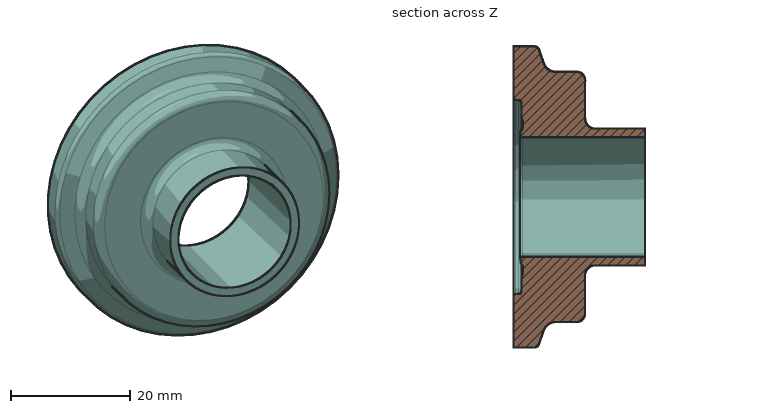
import cadquery as cq
import math

length = 22.0
bore_radius = 20.0 / 2

flange_radius = 50.5 / 2
flange_rim_width = 3.5
flange_edge_fillet = 0.85
flange_slope = math.radians(20)
flange_root_x = 6.95
flange_root_fillet = 1.95

shoulder_radius = 42.0 / 2
shoulder_end = 12.0
shoulder_fillet = 1.5
tube_radius = 23.0 / 2
tube_root_fillet = 1.6

recess_radius = 32.4 / 2
recess_depth = 1.3
recess_edge_fillet = 0.3
recess_floor_fillet = 0.45

groove_start_radius = 13.5
groove_slope_start_radius = 13.05
groove_inner_radius = 11.15
groove_slope = math.radians(25)
lip_slope = math.radians(35)
lip_top_radius = 10.75
lip_bore_fillet = 0.35

coincident = 5.05e-07


def arc(sketch, center, radius, start_degrees, end_degrees):
    """Continue the (x, radial) outline along an arc, from its start point."""
    def point(degrees):
        angle = math.radians(degrees)
        return center[0] + radius * math.cos(angle), center[1] + radius * math.sin(angle)

    end = sketch.val().endPoint() if isinstance(sketch.val(), cq.Edge) else sketch.val()
    if (end - cq.Vector(*point(start_degrees), 0)).Length > coincident:
        sketch = sketch.lineTo(*point(start_degrees))
    return sketch.threePointArc(point((start_degrees + end_degrees) / 2), point(end_degrees))


slope_degrees = math.degrees(flange_slope)
groove_degrees = math.degrees(groove_slope)
groove_edge_fillet = (groove_start_radius - groove_slope_start_radius) / math.sin(groove_slope)
groove_root_fillet = (
    (groove_slope_start_radius - groove_inner_radius) / (math.sin(groove_slope) + math.sin(lip_slope))
)
groove_center = (
    recess_depth + groove_edge_fillet - (groove_edge_fillet + groove_root_fillet) * math.cos(groove_slope),
    groove_inner_radius + groove_root_fillet * math.sin(lip_slope),
)
lip_degrees = math.degrees(lip_slope)
lip_outer_fillet = (groove_inner_radius - lip_top_radius) / math.sin(lip_slope)
lip_center_x = groove_center[0] + (groove_root_fillet + lip_outer_fillet) * math.cos(lip_slope)
lip_face_x = lip_center_x - lip_outer_fillet

profile = cq.Workplane("XY").moveTo(0, recess_radius + recess_edge_fillet).lineTo(0, flange_radius)

profile = arc(profile, (flange_rim_width, flange_radius - flange_edge_fillet),
              flange_edge_fillet, 90, slope_degrees)
profile = arc(profile, (flange_root_x, shoulder_radius + flange_root_fillet),
              flange_root_fillet, 180 + slope_degrees, 270)
profile = arc(profile, (shoulder_end - shoulder_fillet, shoulder_radius - shoulder_fillet),
              shoulder_fillet, 90, 0)
profile = arc(profile, (shoulder_end + tube_root_fillet, tube_radius + tube_root_fillet),
              tube_root_fillet, 180, 270)
profile = profile.lineTo(length, tube_radius).lineTo(length, bore_radius)

profile = arc(profile, (lip_face_x + lip_bore_fillet, bore_radius + lip_bore_fillet),
              lip_bore_fillet, 270, 180)
profile = arc(profile, (lip_center_x, lip_top_radius), lip_outer_fillet, 180, 180 - lip_degrees)
profile = arc(profile, groove_center, groove_root_fillet, -lip_degrees, groove_degrees)
profile = arc(profile, (recess_depth + groove_edge_fillet, groove_start_radius),
              groove_edge_fillet, 180 + groove_degrees, 180)
profile = arc(profile, (recess_depth - recess_floor_fillet, recess_radius - recess_floor_fillet),
              recess_floor_fillet, 0, 90)
profile = arc(profile, (recess_edge_fillet, recess_radius + recess_edge_fillet),
              recess_edge_fillet, 270, 180)

result = profile.close().revolve(360, (0, 0, 0), (1, 0, 0))